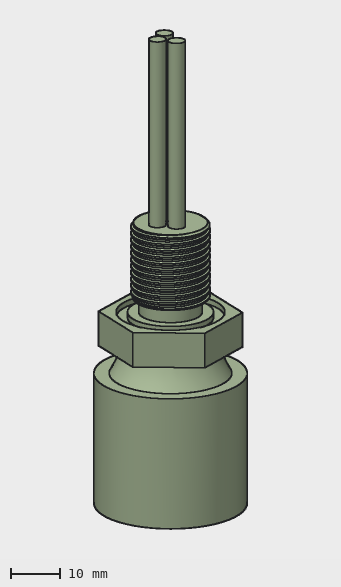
import cadquery as cq
import math

body_top = 27.9
hex_bottom = 33.6
hex_top = 41.0
thread_bottom = 44.0
thread_top = 60.2
wire_top = 100.0

body_diameter = 31.0
shoulder_bottom_diameter = 24.8
shoulder_top_diameter = 19.6
shoulder_sag = 0.2
hex_across_flats = 25.2
hex_across_corners = hex_across_flats / math.cos(math.pi / 6)

groove_outer_diameter = 22.0
groove_inner_diameter = 17.4
groove_depth = 1.2

neck_diameter = 12.9
thread_core_diameter = 15.0
thread_outer_diameter = 16.0
thread_pitch = 1.4
ridge_root_half_height = 0.6
ridge_crest_half_height = 0.2
ridge_root_overlap = 0.2
envelope_diameter = thread_outer_diameter + 0.2
thread_phase = 0.3
thread_start = thread_bottom + thread_phase - thread_pitch
thread_length = thread_top + thread_pitch - thread_start

wire_diameter = 3.5
wire_positions = [(-2.6, 0), (2.6, 0), (0, -3.0)]


def cylinder(diameter, bottom, top):
    return cq.Workplane("XY").workplane(offset=bottom).circle(diameter / 2).extrude(top - bottom)


def flared_shoulder():
    bottom_radius = shoulder_bottom_diameter / 2
    top_radius = shoulder_top_diameter / 2
    middle = ((bottom_radius + top_radius) / 2 - shoulder_sag, (body_top + hex_bottom) / 2)
    return (
        cq.Workplane("XZ")
        .moveTo(0, body_top)
        .lineTo(bottom_radius, body_top)
        .threePointArc(middle, (top_radius, hex_bottom))
        .lineTo(0, hex_bottom)
        .close()
        .revolve(360, (0, 0), (0, 1))
    )


def grooved_hexagon():
    hexagon = (
        cq.Workplane("XY").workplane(offset=hex_bottom)
        .polygon(6, hex_across_corners)
        .extrude(hex_top - hex_bottom)
    )
    groove = cylinder(groove_outer_diameter, hex_top - groove_depth, hex_top).cut(
        cylinder(groove_inner_diameter, hex_top - groove_depth, hex_top)
    )
    return hexagon.cut(groove)


def thread_ridge():
    """Right-handed helical ridge with a trapezoidal section, bevelled down to the core at both ends."""
    core_radius = thread_core_diameter / 2
    root_radius = core_radius - ridge_root_overlap
    helix = cq.Wire.makeHelix(thread_pitch, thread_length, core_radius).moved(
        cq.Location(cq.Vector(0, 0, thread_start))
    )
    crest_radius = thread_outer_diameter / 2
    ridge = (
        cq.Workplane("XZ")
        .moveTo(root_radius, thread_start - ridge_root_half_height)
        .lineTo(crest_radius, thread_start - ridge_crest_half_height)
        .lineTo(crest_radius, thread_start + ridge_crest_half_height)
        .lineTo(root_radius, thread_start + ridge_root_half_height)
        .close()
        .sweep(cq.Workplane(obj=helix), isFrenet=True)
    )
    end_bevel = (envelope_diameter - thread_core_diameter) / 2
    envelope = cylinder(envelope_diameter, thread_bottom, thread_top).faces("<Z or >Z").edges().chamfer(end_bevel)
    return ridge.intersect(envelope)


result = (
    cylinder(body_diameter, 0, body_top)
    .union(flared_shoulder())
    .union(grooved_hexagon())
    .union(cylinder(neck_diameter, hex_top, thread_bottom))
    .union(cylinder(thread_core_diameter, thread_bottom, thread_top))
    .union(thread_ridge())
)
for x, y in wire_positions:
    result = result.union(cylinder(wire_diameter, thread_top, wire_top).translate((x, y, 0)))